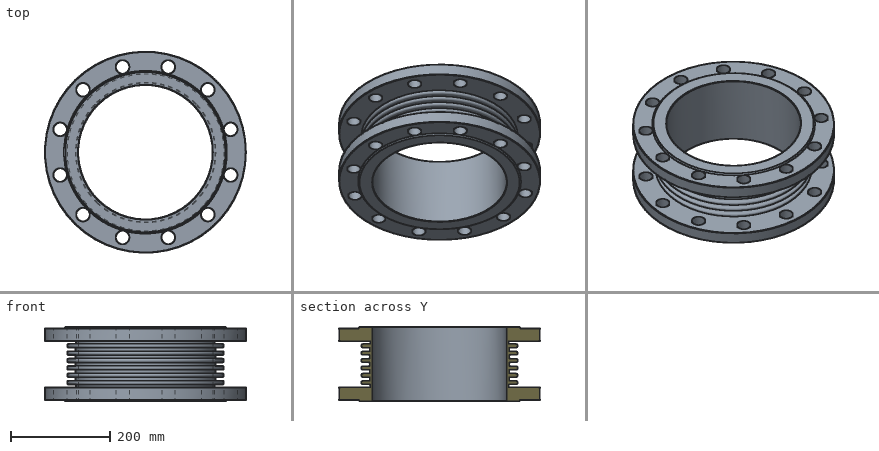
import cadquery as cq

LENGTH = 150.0
BORE_DIAMETER = 270.0
BORE_CHAMFER = 1.0

FLANGE_DIAMETER = 405.0
FLANGE_THICKNESS = 26.0
FLANGE_RIM_CHAMFER = 1.0
RAISED_FACE_HEIGHT = 3.0
RAISED_FACE_TOP_DIAMETER = 322.0
RAISED_FACE_BASE_DIAMETER = RAISED_FACE_TOP_DIAMETER + 2 * RAISED_FACE_HEIGHT

BOLT_COUNT = 12
BOLT_HOLE_DIAMETER = 27.0
BOLT_CIRCLE_DIAMETER = 355.0
BOLT_PITCH_ANGLE = 360.0 / BOLT_COUNT

NECK_DIAMETER = 280.0
BELLOWS_ROOT_DIAMETER = 282.38
BELLOWS_CREST_DIAMETER = 316.0
CONVOLUTION_COUNT = 6
CONVOLUTION_PITCH = 14.84
CONVOLUTION_WIDTH = 8.2

FACE_Z = LENGTH / 2
FLANGE_OUTER_Z = FACE_Z - RAISED_FACE_HEIGHT
FLANGE_INNER_Z = FLANGE_OUTER_Z - FLANGE_THICKNESS
BELLOWS_SPAN = CONVOLUTION_PITCH * (CONVOLUTION_COUNT - 1)


def make_disc(diameter, height):
    """Cylinder about Z, centred on the origin."""
    return cq.Workplane("XY").workplane(offset=-height / 2).circle(diameter / 2).extrude(height)


def make_flange():
    """Upper flange with chamfered rims, a tapered raised face and a ring of bolt holes."""
    rim_radius = FLANGE_DIAMETER / 2
    profile = (
        cq.Workplane("XZ")
        .moveTo(0, FLANGE_INNER_Z)
        .lineTo(rim_radius - FLANGE_RIM_CHAMFER, FLANGE_INNER_Z)
        .lineTo(rim_radius, FLANGE_INNER_Z + FLANGE_RIM_CHAMFER)
        .lineTo(rim_radius, FLANGE_OUTER_Z - FLANGE_RIM_CHAMFER)
        .lineTo(rim_radius - FLANGE_RIM_CHAMFER, FLANGE_OUTER_Z)
        .lineTo(RAISED_FACE_BASE_DIAMETER / 2, FLANGE_OUTER_Z)
        .lineTo(RAISED_FACE_TOP_DIAMETER / 2, FACE_Z)
        .lineTo(0, FACE_Z)
        .close()
    )
    flange = profile.revolve(360, (0, 0, 0), (0, 1, 0))
    bolt_holes = (
        cq.Workplane("XY")
        .workplane(offset=FLANGE_INNER_Z)
        .polarArray(BOLT_CIRCLE_DIAMETER / 2, BOLT_PITCH_ANGLE / 2, 360, BOLT_COUNT)
        .circle(BOLT_HOLE_DIAMETER / 2)
        .extrude(FLANGE_THICKNESS)
    )
    return flange.cut(bolt_holes)


def make_convolution(z):
    """Round-edged ring of the bellows, centred at height z."""
    half_width = CONVOLUTION_WIDTH / 2
    crest_radius = BELLOWS_CREST_DIAMETER / 2
    round_centre = crest_radius - half_width
    profile = (
        cq.Workplane("XZ")
        .moveTo(0, z - half_width)
        .lineTo(round_centre, z - half_width)
        .threePointArc((crest_radius, z), (round_centre, z + half_width))
        .lineTo(0, z + half_width)
        .close()
    )
    return profile.revolve(360, (0, 0, 0), (0, 1, 0))


def make_bellows():
    """Neck tube, thicker root tube between the end convolutions, and the convolutions."""
    bellows = make_disc(NECK_DIAMETER, 2 * FLANGE_INNER_Z)
    bellows = bellows.union(make_disc(BELLOWS_ROOT_DIAMETER, BELLOWS_SPAN))
    for index in range(CONVOLUTION_COUNT):
        z = index * CONVOLUTION_PITCH - BELLOWS_SPAN / 2
        bellows = bellows.union(make_convolution(z))
    return bellows


def make_bore():
    """Through bore, opening out in a small chamfer at both ends."""
    bore_radius = BORE_DIAMETER / 2
    profile = (
        cq.Workplane("XZ")
        .moveTo(0, -FACE_Z)
        .lineTo(bore_radius + BORE_CHAMFER, -FACE_Z)
        .lineTo(bore_radius, -FACE_Z + BORE_CHAMFER)
        .lineTo(bore_radius, FACE_Z - BORE_CHAMFER)
        .lineTo(bore_radius + BORE_CHAMFER, FACE_Z)
        .lineTo(0, FACE_Z)
        .close()
    )
    return profile.revolve(360, (0, 0, 0), (0, 1, 0))


upper_flange = make_flange()
lower_flange = upper_flange.mirror("XY")
body = make_bellows().union(upper_flange).union(lower_flange)
result = body.cut(make_bore())